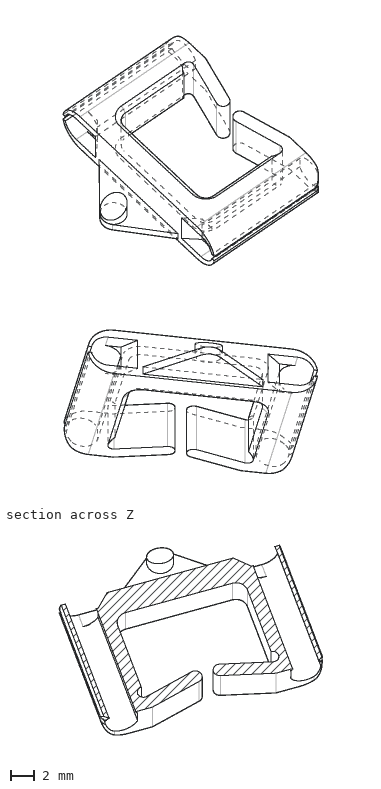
import cadquery as cq
import math


body_length = 12.13
body_height = 4.5
half_height = body_height / 2
side_radius = half_height
side_center_x = 7.65
side_outer_x = side_center_x + side_radius
rear_corner_radius = 1.0

bore_radius = 1.45
bore_center_x = 8.16
bore_wall_x = 6.83
slot_height = 0.6

flare_depth = 1.25
flare_front_x = 5.62

window_half_width = 5.76
window_front_y = 2.43
window_corner_radius = 1.0
rim_chamfer = 0.5

arm_angle = 15.0
arm_thickness = 1.2
arm_root_x = 5.5
arm_gap = 1.0
relief_radius = 0.5

overall_length = 16.05
tab_reach = overall_length - body_length
tab_half_width = 5.17
tab_tip_radius = 1.3
tab_bottom_z = -2.0
tab_thickness = 0.75

pin_radius = 2.3 / 2
pin_center_y = pin_radius - tab_reach
pin_high_z = 0.36
pin_low_z = -0.83


def through(outline):
    """Extrude a closed plan outline, drawn on the mid plane, over the body height."""
    return outline.extrude(half_height, both=True)


def both_sides(solid):
    """Join a feature on the +X side with its mirror image on the -X side."""
    return solid.union(solid.mirror("YZ"))


def make_body():
    """Block with half-round long sides and rounded rear corners."""
    section = (
        cq.Workplane("XZ")
        .moveTo(-side_center_x, half_height)
        .lineTo(side_center_x, half_height)
        .threePointArc((side_outer_x, 0), (side_center_x, -half_height))
        .lineTo(-side_center_x, -half_height)
        .threePointArc((-side_outer_x, 0), (-side_center_x, half_height))
        .close()
        .extrude(-body_length)
    )
    plan = through(cq.Workplane("XY").center(0, body_length / 2).rect(2 * side_outer_x, body_length))
    return section.intersect(plan.edges("|Z and >Y").fillet(rear_corner_radius))


def make_bores():
    """Side bores, the slots that open them outward, and their flared entries."""
    bore = cq.Workplane("XZ").center(bore_center_x, 0).circle(bore_radius).extrude(-body_length)
    inner_flat = cq.Workplane("XY").box(bore_wall_x, body_length, body_height, centered=(False, False, True))
    bore = bore.cut(inner_flat)
    slot_depth = side_outer_x - bore_center_x
    slot = cq.Workplane("XY").box(slot_depth, body_length, slot_height, centered=(False, False, True))
    flare = (
        cq.Workplane("XY")
        .moveTo(flare_front_x, 0)
        .lineTo(bore_center_x, 0)
        .lineTo(bore_center_x, flare_depth)
        .lineTo(bore_wall_x, flare_depth)
        .close()
        .extrude(bore_radius, both=True)
    )
    return both_sides(bore.union(slot.translate((bore_center_x, 0, 0))).union(flare))


def arm_line_y(x, depth):
    """Y at x of a line parallel to the +X arm, the given depth in from its rear face."""
    angle = math.radians(arm_angle)
    return body_length - (arm_root_x - x) * math.tan(angle) - depth / math.cos(angle)


def polar_point(center, radius, degrees):
    """Point on a circle at an angle measured from +X."""
    angle = math.radians(degrees)
    return (center[0] + radius * math.cos(angle), center[1] + radius * math.sin(angle))


relief_center = (window_half_width, arm_line_y(window_half_width, arm_thickness + relief_radius))


def make_opening():
    """Window, arm root reliefs and the notch behind the arms, as one through cut."""
    corner_center = (window_half_width - window_corner_radius, window_front_y + window_corner_radius)

    tip_radius = arm_thickness / 2
    tip_x = arm_gap / 2 + tip_radius
    tip_center = (tip_x, arm_line_y(tip_x, tip_radius))

    rear_normal = 90 + arm_angle
    half = (
        cq.Workplane("XY")
        .moveTo(0, window_front_y)
        .lineTo(*polar_point(corner_center, window_corner_radius, -90))
        .threePointArc(
            polar_point(corner_center, window_corner_radius, -45),
            polar_point(corner_center, window_corner_radius, 0),
        )
        .lineTo(*polar_point(relief_center, relief_radius, -90))
        .threePointArc(
            polar_point(relief_center, relief_radius, 0),
            polar_point(relief_center, relief_radius, rear_normal),
        )
        .lineTo(*polar_point(tip_center, tip_radius, rear_normal + 180))
        .threePointArc(
            polar_point(tip_center, tip_radius, rear_normal + 90),
            polar_point(tip_center, tip_radius, rear_normal),
        )
        .lineTo(arm_root_x, body_length)
        .lineTo(0, body_length)
        .close()
    )
    return both_sides(through(half))


def make_rim():
    """Sloped cuts around the window's top and bottom rims, ending at the reliefs and clear of the arms."""
    width = 2 * window_half_width
    relief_y = relief_center[1]
    outline = (
        cq.Sketch()
        .push([(0, window_front_y + body_length / 2)])
        .rect(width, body_length)
        .reset()
        .vertices()
        .fillet(window_corner_radius)
    )
    rim = cq.Workplane("XY", origin=(0, 0, half_height - rim_chamfer))
    rim = rim.placeSketch(outline).extrude(rim_chamfer, taper=-45)

    rear_center_y = relief_y + body_length / 2
    behind_reliefs = through(cq.Workplane("XY").center(0, rear_center_y).rect(2 * width, body_length))
    between_walls = through(cq.Workplane("XY").center(0, relief_y).rect(width, 2 * arm_thickness))
    rim = rim.cut(behind_reliefs).cut(between_walls)
    return rim.union(rim.mirror("XY"))


def make_tab():
    """Flat triangular tab with a rounded tip, tangent to both slanted edges."""
    tip_center = (0, tab_tip_radius - tab_reach)
    corner_distance = math.hypot(tab_half_width, tip_center[1])
    corner_angle = math.degrees(math.atan2(-tip_center[1], tab_half_width))
    tangent_angle = corner_angle - math.degrees(math.acos(tab_tip_radius / corner_distance))
    return (
        cq.Workplane("XY", origin=(0, 0, tab_bottom_z))
        .moveTo(-tab_half_width, 0)
        .lineTo(tab_half_width, 0)
        .lineTo(*polar_point(tip_center, tab_tip_radius, tangent_angle))
        .threePointArc(
            polar_point(tip_center, tab_tip_radius, -90),
            polar_point(tip_center, tab_tip_radius, 180 - tangent_angle),
        )
        .close()
        .extrude(tab_thickness)
    )


def make_pin():
    """Round pin trimmed by a plane that falls from its inner to its outer side."""
    pin = (
        cq.Workplane("XY", origin=(0, pin_center_y, tab_bottom_z))
        .circle(pin_radius)
        .extrude(pin_high_z - tab_bottom_z)
    )
    side_shape = (
        cq.Workplane("YZ")
        .moveTo(pin_center_y - pin_radius, tab_bottom_z)
        .lineTo(pin_center_y + pin_radius, tab_bottom_z)
        .lineTo(pin_center_y + pin_radius, pin_high_z)
        .lineTo(pin_center_y - pin_radius, pin_low_z)
        .close()
        .extrude(pin_radius, both=True)
    )
    return pin.intersect(side_shape)


frame = make_body().cut(make_opening()).cut(make_rim()).cut(make_bores())
result = frame.union(make_tab()).union(make_pin())